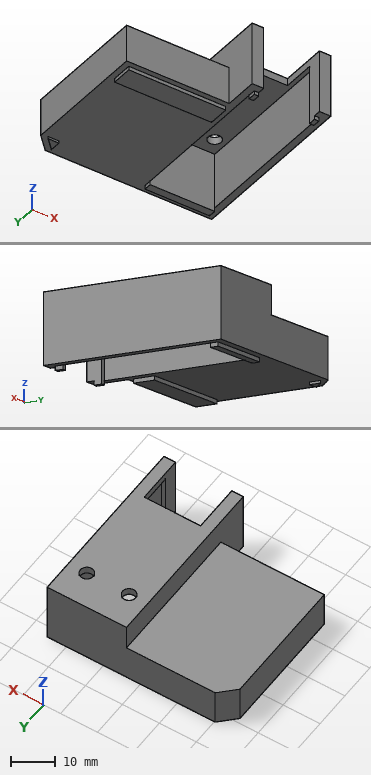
import cadquery as cq

length = 49.45
width = 47.0
height = 18.0
lip_height = 1.0

block_front = 9.05
block_top = 11.05
corner_chamfer = 4.0

housing_left = 28.0
arm_thickness = 3.1
slot_depth = 12.55
roof_thickness = 2.0
side_wall = 1.95
end_wall = 3.95

hole_diameter = 3.5
hole_left = 33.0
hole_spacing = 11.4
hole_y = 38.5

lip_thickness = 2.05
block_lip_left = 1.55
block_lip_front = 10.45
block_lip_width = 5.6
corner_foot_leg = 3.0
corner_foot_height = 0.6
corner_foot_front = 42.35

slot_left = housing_left + arm_thickness
slot_right = length - arm_thickness
cavity_left = housing_left + side_wall
cavity_right = length - side_wall
cavity_rear = width - end_wall
roof_underside = height - roof_thickness


def box(x0, x1, y0, y1, z0, z1):
    """Box between two limits along each axis."""
    return cq.Workplane("XY").box(x1 - x0, y1 - y0, z1 - z0, centered=False).translate((x0, y0, z0))


def make_block():
    block = box(0, housing_left, block_front, width, lip_height, block_top)
    return block.edges("|Z and <X and >Y").chamfer(corner_chamfer)


def make_block_lips():
    front_lip = box(
        block_lip_left, housing_left,
        block_lip_front, block_lip_front + block_lip_width,
        0, lip_height,
    )
    corner_foot = (
        cq.Workplane("XY", origin=(block_lip_left, corner_foot_front, lip_height))
        .lineTo(corner_foot_leg, corner_foot_leg)
        .lineTo(corner_foot_leg, 0)
        .close()
        .extrude(-corner_foot_height)
    )
    return front_lip.union(corner_foot)


def make_housing():
    housing = box(housing_left, length, 0, width, lip_height, height)
    for lip_front in (end_wall - lip_thickness, cavity_rear):
        lip_rear = lip_front + lip_thickness
        housing = housing.union(box(cavity_left, cavity_right, lip_front, lip_rear, 0, lip_height))
    cavity = box(cavity_left, cavity_right, end_wall, cavity_rear, 0, roof_underside)
    slot = box(slot_left, slot_right, 0, slot_depth, 0, height)
    holes = (
        cq.Workplane("XY")
        .pushPoints([(hole_left, hole_y), (hole_left + hole_spacing, hole_y)])
        .circle(hole_diameter / 2)
        .extrude(height)
    )
    return housing.cut(cavity).cut(slot).cut(holes)


result = make_block().union(make_block_lips()).union(make_housing())